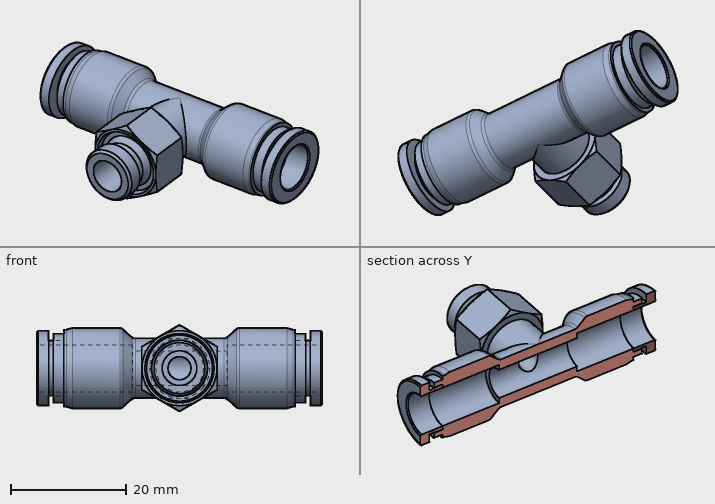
import cadquery as cq
import math


overall_length = 49.4
half_length = overall_length / 2
tube_dia = 10.4
barrel_dia = 14.0
lip_dia = 13.4
collar_dia = 12.0
cone_angle = math.radians(42.0)
cone_fillet = 0.9

flange_depth = 2.0
collar_start = 2.85
lip_start = 4.65
lip_end = 5.1
barrel_start = 6.15
cone_start = 14.65

cone_foot = half_length - cone_start - (barrel_dia - tube_dia) / 2 / math.tan(cone_angle)
blend_tangent = cone_fillet * math.tan(cone_angle / 2)
blend_run = blend_tangent * math.cos(cone_angle)
blend_rise = blend_tangent * math.sin(cone_angle)
blend_foot = cone_foot - blend_tangent

flow_bore_dia = 6.0
socket_dia = 8.15
socket_end = 16.5

button_width = 14.5
button_height = 13.0
sleeve_dia = 9.6
button_bore_dia = 8.2
button_chamfer = 0.25
sleeve_end = lip_start

hex_start = 8.0
hex_length = 8.0
hex_across_flats = 13.0
hex_chamfer_height = 0.43
hex_end = hex_start + hex_length
seal_recess_dia = 12.0
seal_recess_floor_dia = 11.44
seal_recess_depth = 0.9
stud_neck_dia = 8.2
neck_root_dia = 9.6
neck_start = 16.5
head_ramp_start = 18.0
head_ramp_end = 18.43
head_dia = 9.73
head_chamfer = 0.45
stud_end = 21.3
stud_bore_dia = 6.0
branch_bore_dia = 4.0


def rod_x(diameter, start, end):
    """Cylinder on the X axis between two X positions."""
    return cq.Workplane("YZ").workplane(offset=start).circle(diameter / 2).extrude(end - start)


def rod_y(diameter, start, end):
    """Cylinder on the -Y axis between two distances from the run axis."""
    return cq.Workplane("XZ").workplane(offset=start).circle(diameter / 2).extrude(end - start)


def mirrored_to(solid, side):
    """The solid as built on the +X side, or its mirror image on the -X side."""
    return solid if side > 0 else solid.mirror("YZ")


def make_barrel():
    """Outer shape of the +X end of the run, from the foot of its blended cone to the collar."""
    tube_radius = tube_dia / 2
    barrel_radius = barrel_dia / 2
    cone_top = half_length - cone_start
    return (
        cq.Workplane("XY")
        .moveTo(blend_foot, 0)
        .lineTo(blend_foot, tube_radius)
        .radiusArc((cone_foot + blend_run, tube_radius + blend_rise), -cone_fillet)
        .lineTo(cone_top - blend_run, barrel_radius - blend_rise)
        .radiusArc((cone_top + blend_tangent, barrel_radius), cone_fillet)
        .lineTo(half_length - barrel_start, barrel_radius)
        .lineTo(half_length - lip_end, lip_dia / 2)
        .lineTo(half_length - lip_start, lip_dia / 2)
        .lineTo(half_length - lip_start, collar_dia / 2)
        .lineTo(half_length - collar_start, collar_dia / 2)
        .lineTo(half_length - collar_start, 0)
        .close()
        .revolve(360, (0, 0, 0), (1, 0, 0))
    )


def make_tee():
    """Tee body: run tube, branch tube and the two barrels, bored for flow, tubing and buttons."""
    tee = rod_x(tube_dia, -blend_foot, blend_foot).union(rod_y(tube_dia, 0, hex_start))
    socket = rod_x(socket_dia, half_length - socket_end, half_length)
    sleeve_seat = rod_x(sleeve_dia, half_length - sleeve_end, half_length)
    for side in (-1, 1):
        tee = tee.union(mirrored_to(make_barrel(), side))
        tee = tee.cut(mirrored_to(socket.union(sleeve_seat), side))
    tee = tee.cut(rod_x(flow_bore_dia, -half_length, half_length))
    return tee.cut(rod_y(branch_bore_dia, 0, hex_start))


def make_button(side):
    """Oval release button with a sleeve that reaches into the barrel."""
    flange = (
        cq.Workplane("YZ")
        .workplane(offset=half_length - flange_depth)
        .ellipse(button_width / 2, button_height / 2)
        .extrude(flange_depth)
    )
    sleeve = rod_x(sleeve_dia, half_length - sleeve_end, half_length - flange_depth)
    bore = rod_x(button_bore_dia, half_length - sleeve_end, half_length)
    button = flange.union(sleeve).cut(bore)
    button = button.faces(">X").edges().chamfer(button_chamfer)
    return mirrored_to(button, side)


def make_hexagon():
    """Hexagon with its corners on Z, bevelled at both ends, with a seal recess in the -Y face."""
    across_corners = hex_across_flats / math.cos(math.radians(30))
    flat_radius = hex_across_flats / 2
    corner_radius = across_corners / 2
    hexagon = (
        cq.Workplane("XZ")
        .workplane(offset=hex_start)
        .transformed(rotate=(0, 0, 90))
        .polygon(6, across_corners)
        .extrude(hex_length)
    )
    bevel_envelope = (
        cq.Workplane("XY")
        .moveTo(0, -hex_start)
        .lineTo(flat_radius, -hex_start)
        .lineTo(corner_radius, -hex_start - hex_chamfer_height)
        .lineTo(corner_radius, -hex_end + hex_chamfer_height)
        .lineTo(flat_radius, -hex_end)
        .lineTo(0, -hex_end)
        .close()
        .revolve(360, (0, 0, 0), (0, 1, 0))
    )
    floor = hex_end - seal_recess_depth
    seal_recess = (
        cq.Workplane("XZ")
        .workplane(offset=floor)
        .circle(seal_recess_floor_dia / 2)
        .workplane(offset=seal_recess_depth)
        .circle(seal_recess_dia / 2)
        .loft()
    )
    return hexagon.intersect(bevel_envelope).cut(seal_recess)


def make_stud():
    """Hexagon and threaded end in one piece; the shank rises from the floor of the seal recess."""
    floor = hex_end - seal_recess_depth
    head_radius = head_dia / 2
    shank = (
        cq.Workplane("XY")
        .moveTo(0, -floor)
        .lineTo(neck_root_dia / 2, -floor)
        .lineTo(stud_neck_dia / 2, -neck_start)
        .lineTo(stud_neck_dia / 2, -head_ramp_start)
        .lineTo(head_radius, -head_ramp_end)
        .lineTo(head_radius, -stud_end + head_chamfer)
        .lineTo(head_radius - head_chamfer, -stud_end)
        .lineTo(0, -stud_end)
        .close()
        .revolve(360, (0, 0, 0), (0, 1, 0))
    )
    return make_hexagon().union(shank).cut(rod_y(stud_bore_dia, hex_start, stud_end))


tee = make_tee()
stud = make_stud()
buttons = [make_button(side) for side in (-1, 1)]

result = cq.Compound.makeCompound([tee.val(), stud.val(), *[button.val() for button in buttons]])